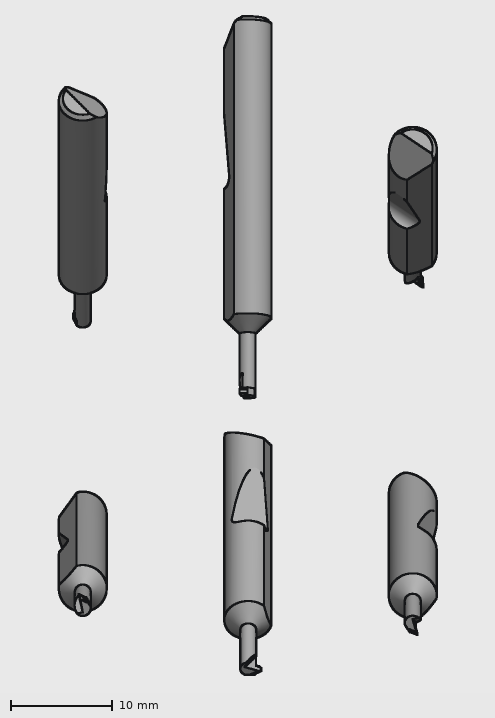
import cadquery as cq
import math

total_height = 38.1
shank_radius = 2.38
neck_radius = 0.8
neck_bottom = 0.08
cone_bottom = 6.45
cone_height = shank_radius - neck_radius
top_chamfer = 0.4
cut_margin = 0.75

flat_distance = 2.0
flat_direction = 145.0

bevel_start_y = -0.6
bevel_angle = 45.0

notch_top = 29.85
notch_bottom = 21.15
notch_radius = 1.0
notch_angle = 9.4

rake_y = 0.095
tooth_tip_x = -1.37
tooth_root_x = 0.057
tooth_heel_x = -0.85
tooth_heel_y = -0.55
tooth_top = 0.85
nose_chamfer = 0.23
point_x = -1.0
pocket_height = 2.35
pocket_base_x = 0.45


def make_bar():
    """Turned neck, cone and shank."""
    outline = [
        (0, neck_bottom),
        (neck_radius, neck_bottom),
        (neck_radius, cone_bottom),
        (shank_radius, cone_bottom + cone_height),
        (shank_radius, total_height - top_chamfer),
        (shank_radius - top_chamfer, total_height),
        (0, total_height),
    ]
    return cq.Workplane("XZ").polyline(outline).close().revolve(360, (0, 0, 0), (0, 1, 0))


def make_side_flat():
    """Block whose inner face is the flat along the shank."""
    width = 2 * shank_radius
    block = cq.Workplane("XY").box(width, width, total_height, centered=(False, True, False))
    return block.translate((flat_distance, 0, 0)).rotate((0, 0, 0), (0, 0, 1), flat_direction)


def extrude_across(sketch):
    """Extrude a YZ outline across the whole width of the bar."""
    return sketch.close().extrude(shank_radius + cut_margin, both=True)


def make_bevel():
    """Wedge removed above the sloped upper end."""
    outer_y = shank_radius + cut_margin
    drop = (outer_y - bevel_start_y) * math.tan(math.radians(bevel_angle))
    outline = [
        (bevel_start_y, total_height),
        (outer_y, total_height - drop),
        (outer_y, total_height),
    ]
    return extrude_across(cq.Workplane("YZ").polyline(outline))


def make_notch():
    """Ramp ending in a tangent arc and a level shoulder."""
    angle = math.radians(notch_angle)
    slope = math.tan(angle)
    outer_y = shank_radius + cut_margin
    center_z = notch_bottom + notch_radius
    tangent_z = center_z + notch_radius * math.sin(angle)
    tangent_y = shank_radius - (notch_top - tangent_z) * slope
    center_y = tangent_y + notch_radius * math.cos(angle)
    arc_start = math.pi - angle
    arc_end = 1.5 * math.pi
    arc_middle_angle = (arc_start + arc_end) / 2
    arc_middle = (
        center_y + notch_radius * math.cos(arc_middle_angle),
        center_z + notch_radius * math.sin(arc_middle_angle),
    )
    sketch = (
        cq.Workplane("YZ")
        .moveTo(outer_y, notch_top + cut_margin / slope)
        .lineTo(tangent_y, tangent_z)
        .threePointArc(arc_middle, (center_y, notch_bottom))
        .lineTo(outer_y, notch_bottom)
    )
    return extrude_across(sketch)


def make_chip_pocket():
    """Sloped pocket open to the tip, on the +Y side of the rake face."""
    outline = [
        (-neck_radius, pocket_height),
        (pocket_base_x, 0),
        (tooth_tip_x, 0),
        (tooth_tip_x, pocket_height),
    ]
    pocket = cq.Workplane("XZ", origin=(0, rake_y, 0)).polyline(outline).close()
    return pocket.extrude(-(neck_radius + cut_margin))


def make_tooth():
    """Cutting tooth, relieved behind its edge, with a flat heel blending into the neck."""
    cutting_edge = [
        (tooth_root_x, neck_bottom),
        (tooth_heel_x, neck_bottom),
        (point_x, 0),
        (tooth_tip_x, nose_chamfer),
        (tooth_tip_x, tooth_top - nose_chamfer),
        (tooth_tip_x + nose_chamfer, tooth_top),
        (tooth_root_x, tooth_top),
    ]
    heel_depth = rake_y - tooth_heel_y
    relief = tooth_heel_x - tooth_tip_x
    heel_edge = [
        (min(x + relief, tooth_root_x), max(z, neck_bottom))
        for x, z in cutting_edge
    ]
    tip = (
        cq.Workplane("XZ", origin=(0, rake_y, 0))
        .polyline(cutting_edge).close()
        .workplane(offset=heel_depth)
        .polyline(heel_edge).close()
        .loft(ruled=True)
    )
    heel = [
        (tooth_root_x, rake_y),
        (tooth_heel_x, rake_y),
        (tooth_heel_x, tooth_heel_y),
        (tooth_root_x, -neck_radius),
    ]
    heel_block = (
        cq.Workplane("XY", origin=(0, 0, neck_bottom))
        .polyline(heel).close()
        .extrude(tooth_top - neck_bottom)
    )
    return tip.union(heel_block)


def make_heel_trim():
    """Sliver of neck removed in front of the flat heel of the tooth."""
    outline = [
        (tooth_root_x, -neck_radius),
        (tooth_heel_x, tooth_heel_y),
        (tooth_heel_x, -neck_radius),
    ]
    return cq.Workplane("XY").polyline(outline).close().extrude(tooth_top)


result = make_bar()
cutters = (make_side_flat(), make_bevel(), make_notch(), make_chip_pocket(), make_heel_trim())
for cutter in cutters:
    result = result.cut(cutter)
result = result.union(make_tooth())